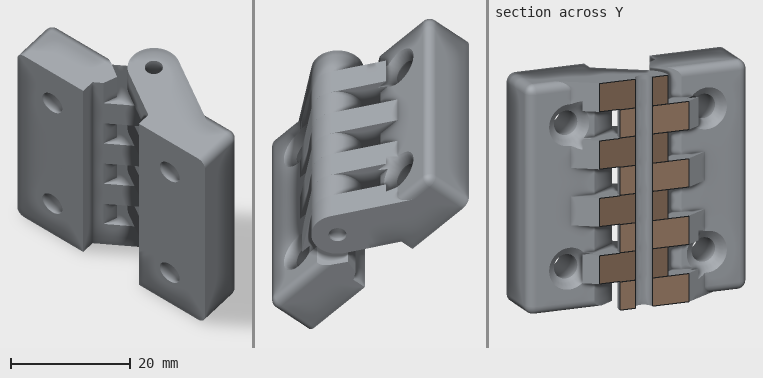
import cadquery as cq
import math


hinge_width = 40.0
hinge_length = 40.0
edge_radius = 1.5

leaf_thickness = 9.0
leaf_gap = 11.9

knuckle_radius = 4.4
pin_axis_height = 11.5
pin_hole_diameter = 3.0
arm_angle = math.radians(32.3)
knuckle_count = 8

nose_top_x = 7.9
nose_tip_x = 3.5
nose_tip_height = 6.0
nose_foot_x = 4.4

screw_spacing = 25.0
screw_hole_diameter = 4.25
countersink_diameter = 9.35
countersink_top = 10.05
countersink_angle = math.radians(90.0)

half_width = hinge_width / 2
half_length = hinge_length / 2
inner_face_x = leaf_gap / 2
knuckle_length = hinge_length / knuckle_count
tangent_dx = knuckle_radius * math.sin(arm_angle)
tangent_dy = knuckle_radius * math.cos(arm_angle)
arm_offset = knuckle_radius / math.cos(arm_angle)
arm_root_height = leaf_thickness - edge_radius
arm_root_x = (pin_axis_height + arm_offset - arm_root_height) / math.tan(arm_angle)


def arm_underside(distance):
    """Height of the arm's lower face at a distance from the pin axis along X."""
    return pin_axis_height - arm_offset - distance * math.tan(arm_angle)


def leaf_block():
    """Left leaf without arms: rounded block trimmed to the nose outline."""
    block = (
        cq.Workplane("XY")
        .box(half_width, leaf_thickness, hinge_length, centered=(False, False, True))
        .translate((-half_width, 0, 0))
    )
    outer_corners = block.edges("<X and |Y")
    block = outer_corners.fillet(edge_radius)
    outer_rim = block.faces(">Y").edges("not(>X)")
    block = outer_rim.fillet(edge_radius)

    outline = (
        cq.Workplane("XY", origin=(0, 0, -half_length))
        .moveTo(-half_width, 0)
        .lineTo(-inner_face_x, 0)
        .lineTo(-inner_face_x, arm_underside(inner_face_x))
        .lineTo(-nose_foot_x, arm_underside(nose_foot_x))
        .lineTo(-nose_tip_x, nose_tip_height)
        .lineTo(-nose_top_x, leaf_thickness)
        .lineTo(-half_width, leaf_thickness)
        .close()
        .extrude(hinge_length)
    )
    return block.intersect(outline)


def knuckle_arm(bottom_z):
    """One knuckle with the arm that joins it to the left leaf."""
    return (
        cq.Workplane("XY", origin=(0, 0, bottom_z))
        .moveTo(-inner_face_x, arm_underside(inner_face_x))
        .lineTo(tangent_dx, pin_axis_height - tangent_dy)
        .threePointArc(
            (knuckle_radius * math.cos(arm_angle), pin_axis_height + knuckle_radius * math.sin(arm_angle)),
            (-tangent_dx, pin_axis_height + tangent_dy),
        )
        .lineTo(-arm_root_x, arm_root_height)
        .close()
        .extrude(knuckle_length)
    )


def screw_hole(z):
    """Cutter for one countersunk screw hole of the left leaf."""
    hole_radius = screw_hole_diameter / 2
    head_radius = countersink_diameter / 2
    cone_depth = (head_radius - hole_radius) / math.tan(countersink_angle / 2)
    return (
        cq.Workplane("XY")
        .lineTo(hole_radius, 0)
        .lineTo(hole_radius, countersink_top - cone_depth)
        .lineTo(head_radius, countersink_top)
        .lineTo(0, countersink_top)
        .close()
        .revolve(360, (0, 0, 0), (0, 1, 0))
        .translate((-screw_spacing / 2, 0, z))
    )


def pin_hole():
    """Cutter for the pin bore through all knuckles."""
    return (
        cq.Workplane("XY", origin=(0, pin_axis_height, -half_length))
        .circle(pin_hole_diameter / 2)
        .extrude(hinge_length)
    )


def hinge_leaf(first_knuckle):
    """Left leaf carrying every second knuckle, counted from the -Z end."""
    leaf = leaf_block()
    for index in range(first_knuckle, knuckle_count, 2):
        leaf = leaf.union(knuckle_arm(index * knuckle_length - half_length))
    for z in (-screw_spacing / 2, screw_spacing / 2):
        leaf = leaf.cut(screw_hole(z))
    return leaf.cut(pin_hole())


left_leaf = hinge_leaf(first_knuckle=0)
right_leaf = hinge_leaf(first_knuckle=1).mirror("YZ")

result = cq.Compound.makeCompound([left_leaf.val(), right_leaf.val()])